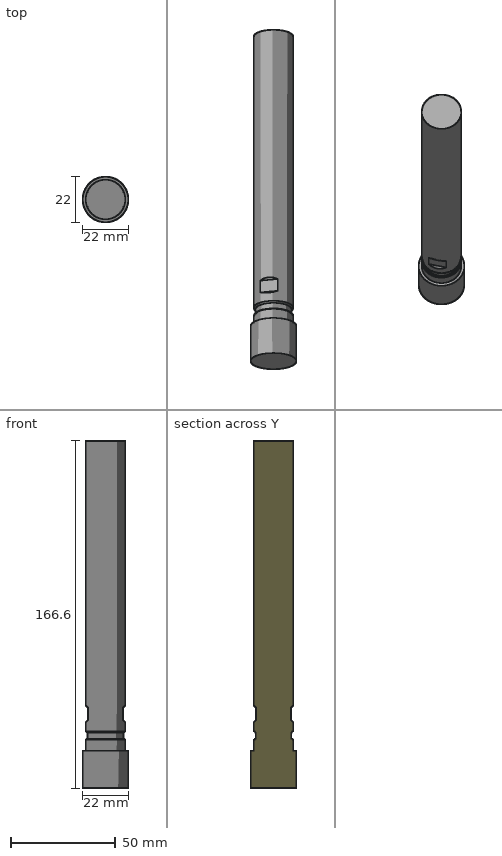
import cadquery as cq

total_length = 166.6
head_diameter = 22.0
head_length = 18.0
shaft_diameter = 19.0

groove_diameter = 17.4
groove_bottom = 23.7
groove_top = 27.4
seat_chamfer = 0.5
groove_chamfer = (shaft_diameter - groove_diameter) / 2

across_flats = 17.0
flat_bottom = 32.6
flat_top = 38.6
flat_depth = (shaft_diameter - across_flats) / 2


def make_body():
    """Revolve the stepped outline: head, seat, relief groove and shaft."""
    head_radius = head_diameter / 2
    shaft_radius = shaft_diameter / 2
    groove_radius = groove_diameter / 2
    outline = (
        cq.Workplane("XZ")
        .lineTo(head_radius, 0)
        .lineTo(head_radius, head_length)
        .lineTo(shaft_radius, head_length)
        .lineTo(shaft_radius, groove_bottom - seat_chamfer)
        .lineTo(shaft_radius - seat_chamfer, groove_bottom)
        .lineTo(groove_radius, groove_bottom)
        .lineTo(groove_radius, groove_top - groove_chamfer)
        .lineTo(shaft_radius, groove_top)
        .lineTo(shaft_radius, total_length)
        .lineTo(0, total_length)
        .close()
    )
    return outline.revolve(360, (0, 0, 0), (0, 1, 0))


def make_flat_cutter(side):
    """Cutter for one wrench flat with 45 degree ends; side is -1 or +1 along X."""
    inner_x = side * across_flats / 2
    outer_x = side * shaft_diameter / 2
    return (
        cq.Workplane("XZ")
        .moveTo(inner_x, flat_bottom)
        .lineTo(outer_x, flat_bottom - flat_depth)
        .lineTo(outer_x, flat_top + flat_depth)
        .lineTo(inner_x, flat_top)
        .close()
        .extrude(shaft_diameter / 2, both=True)
    )


result = make_body()
for side in (-1, 1):
    result = result.cut(make_flat_cutter(side))